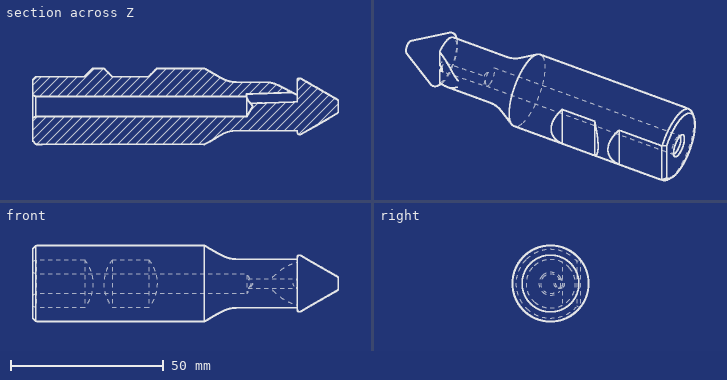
import cadquery as cq
import math

overall_length = 100.0

shank_radius = 12.5
shank_length = 56.2
end_chamfer = 1.1
lead_in_end = 2.25
lead_in_drop = 0.1

taper_angle = math.radians(30)
neck_radius = 8.0
shoulder_fillet = 10.0

head_back = 86.5
head_radius = 9.3
head_fillet = 0.8
tip_fillet = 0.8

flat_height = 9.8
flat_chamfer = 1.2
rear_flat_length = 17.0
front_flat_center = 32.0
front_flat_length = 12.0

relief_angle = math.radians(27.5)
relief_floor = 3.8
relief_blend = 10.0

bore_diameter = 6.5
bore_depth = 70.0
bore_mouth_diameter = 7.6
bore_mouth_depth = 1.0
drill_point_angle = math.radians(59)
coolant_diameter = 3.0
coolant_exit_offset = 3.1
coolant_tilt = 2.0


def arc_point(center, radius, angle):
    """Point on a circle, with the angle measured from +X toward the radial direction."""
    return (center[0] + radius * math.cos(angle), center[1] + radius * math.sin(angle))


def turned_body():
    """Shank, shoulder, neck and head, revolved about X."""
    sin_t = math.sin(taper_angle)
    cone_normal = math.pi / 2 - taper_angle
    lead_in_radius = shank_radius - lead_in_drop

    fillet_start_radius = neck_radius + shoulder_fillet * (1 - math.cos(taper_angle))
    fillet_start = shank_length + (shank_radius - fillet_start_radius) / math.tan(taper_angle)
    neck_start = fillet_start + shoulder_fillet * sin_t
    shoulder_center = (neck_start, neck_radius + shoulder_fillet)
    shoulder_middle = arc_point(shoulder_center, shoulder_fillet, -math.pi / 2 - taper_angle / 2)

    rim_center = (head_back + head_fillet, head_radius - head_fillet)
    rim_tangent = arc_point(rim_center, head_fillet, cone_normal)
    rim_middle = arc_point(rim_center, head_fillet, (math.pi + cone_normal) / 2)
    tip_center_x = overall_length - tip_fillet
    tip_tangent_x = tip_center_x + tip_fillet * math.cos(cone_normal)
    tip_tangent_radius = rim_tangent[1] - (tip_tangent_x - rim_tangent[0]) * math.tan(taper_angle)
    tip_center = (tip_center_x, tip_tangent_radius - tip_fillet * math.sin(cone_normal))
    tip_middle = arc_point(tip_center, tip_fillet, cone_normal / 2)

    profile = (
        cq.Workplane("XY")
        .lineTo(0, lead_in_radius - end_chamfer)
        .lineTo(end_chamfer, lead_in_radius)
        .lineTo(lead_in_end, shank_radius)
        .lineTo(shank_length, shank_radius)
        .lineTo(fillet_start, fillet_start_radius)
        .threePointArc(shoulder_middle, (neck_start, neck_radius))
        .lineTo(head_back, neck_radius)
        .lineTo(head_back, rim_center[1])
        .threePointArc(rim_middle, rim_tangent)
        .lineTo(tip_tangent_x, tip_tangent_radius)
        .threePointArc(tip_middle, (overall_length, tip_center[1]))
        .lineTo(overall_length, 0)
        .close()
    )
    return profile.revolve(360, (0, 0, 0), (1, 0, 0))


def cut_across(points):
    """Cutter with an XY outline that spans the full height of the part."""
    return cq.Workplane("XY").polyline(points).close().extrude(shank_radius, both=True)


def flat_cutters():
    """Rear flat, open to the end face, and front flat, with 45 degree run-outs."""
    rise = shank_radius - flat_height
    rear = cut_across([
        (0, shank_radius),
        (0, flat_height - flat_chamfer),
        (flat_chamfer, flat_height),
        (rear_flat_length, flat_height),
        (rear_flat_length + rise, shank_radius),
    ])
    half_length = front_flat_length / 2
    front = cut_across([
        (front_flat_center - half_length - rise, shank_radius),
        (front_flat_center - half_length, flat_height),
        (front_flat_center + half_length, flat_height),
        (front_flat_center + half_length + rise, shank_radius),
    ])
    return rear.union(front)


def relief_cutter():
    """Wedge that slopes the neck down to the back of the head, rounded where it starts."""
    corner_x = head_back - (neck_radius - relief_floor) / math.tan(relief_angle)
    blend_start = corner_x - relief_blend * math.tan(relief_angle / 2)
    blend_center = (blend_start, neck_radius - relief_blend)
    blend_middle = arc_point(blend_center, relief_blend, math.pi / 2 - relief_angle / 2)
    blend_end = arc_point(blend_center, relief_blend, math.pi / 2 - relief_angle)
    return (
        cq.Workplane("XY")
        .moveTo(blend_start, neck_radius)
        .threePointArc(blend_middle, blend_end)
        .lineTo(head_back, relief_floor)
        .lineTo(head_back, neck_radius)
        .close()
        .extrude(neck_radius, both=True)
    )


def coolant_cutter():
    """Chamfered bore with a drill point, and a small hole on to the back of the head."""
    bore_radius = bore_diameter / 2
    bore = (
        cq.Workplane("XY")
        .lineTo(0, bore_mouth_diameter / 2)
        .lineTo(bore_mouth_depth, bore_radius)
        .lineTo(bore_depth, bore_radius)
        .lineTo(bore_depth + bore_radius / math.tan(drill_point_angle), 0)
        .close()
        .revolve(360, (0, 0, 0), (1, 0, 0))
    )
    reach = head_back - bore_depth
    hole = (
        cq.Workplane("YZ")
        .circle(coolant_diameter / 2)
        .extrude(reach, both=True)
        .rotate((0, 0, 0), (0, 0, 1), coolant_tilt)
        .translate((head_back, coolant_exit_offset, 0))
    )
    span = 2 * shank_radius
    behind_head = cq.Workplane("XY").box(reach, span, span).translate((head_back - reach / 2, 0, 0))
    return bore.union(hole.intersect(behind_head))


result = turned_body().cut(flat_cutters()).cut(relief_cutter()).cut(coolant_cutter())